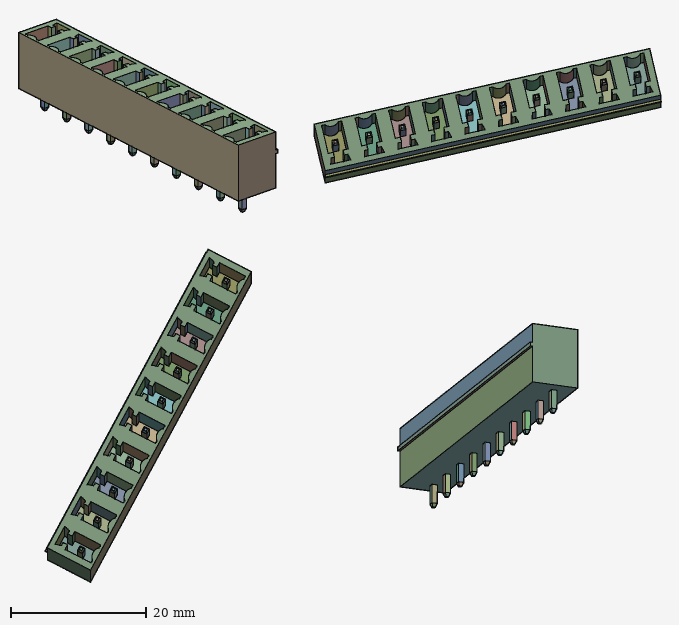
import cadquery as cq

position_count = 10
pitch = 5.1
housing_length = position_count * pitch
housing_depth = 7.2
housing_height = 9.15

rib_projection = 0.35
rib_height = 0.6
rib_drop = 2.95

socket_depth = 7.1
socket_width = 3.05
socket_front = 0.45
shoulder_y = 4.8
neck_width = 1.45
neck_back = 5.55
dovetail_front_width = 2.55
dovetail_back_width = 3.05
socket_back = 6.45
bump_width = 2.05
bump_height = 0.45

pin_width = 0.85
pin_y = 2.9
pin_tail_length = 3.45
pin_tip_length = 0.55
pin_tip_width = 0.4
pin_top_drop = 2.05


def make_housing():
    """Rectangular body with the rib on its back wall."""
    body = cq.Workplane("XY").box(
        housing_length, housing_depth, housing_height, centered=(True, False, False)
    )
    rib_bottom = housing_height - rib_drop - rib_height
    rib = (
        cq.Workplane("XY", origin=(0, housing_depth, rib_bottom))
        .box(housing_length, rib_projection, rib_height, centered=(True, False, False))
    )
    return body.union(rib)


def make_socket(x):
    """Cutting solid for the keyed socket centred at x, open at the housing top."""
    floor_z = housing_height - socket_depth
    return (
        cq.Workplane("XY", origin=(x, 0, floor_z))
        .moveTo(-socket_width / 2, socket_front)
        .lineTo(-bump_width / 2, socket_front)
        .threePointArc((0, socket_front + bump_height), (bump_width / 2, socket_front))
        .lineTo(socket_width / 2, socket_front)
        .lineTo(socket_width / 2, shoulder_y)
        .lineTo(neck_width / 2, shoulder_y)
        .lineTo(neck_width / 2, neck_back)
        .lineTo(dovetail_front_width / 2, neck_back)
        .lineTo(dovetail_back_width / 2, socket_back)
        .lineTo(-dovetail_back_width / 2, socket_back)
        .lineTo(-dovetail_front_width / 2, neck_back)
        .lineTo(-neck_width / 2, neck_back)
        .lineTo(-neck_width / 2, shoulder_y)
        .lineTo(-socket_width / 2, shoulder_y)
        .close()
        .extrude(socket_depth)
    )


def make_pin_tip(x, base_z, end_z):
    """Pyramid frustum narrowing from the pin section at base_z to the tip at end_z."""
    return (
        cq.Workplane("XY", origin=(x, pin_y, base_z))
        .rect(pin_width, pin_width)
        .workplane(offset=end_z - base_z)
        .rect(pin_tip_width, pin_tip_width)
        .loft(ruled=True)
    )


def make_pin(x):
    """Square pin at x, running from below the base up into the socket."""
    bottom_z = -pin_tail_length
    top_z = housing_height - pin_top_drop
    shank_bottom = bottom_z + pin_tip_length
    shank_top = top_z - pin_tip_length
    shank = (
        cq.Workplane("XY", origin=(x, pin_y, shank_bottom))
        .rect(pin_width, pin_width)
        .extrude(shank_top - shank_bottom)
    )
    lower_tip = make_pin_tip(x, shank_bottom, bottom_z)
    upper_tip = make_pin_tip(x, shank_top, top_z)
    return shank.union(lower_tip).union(upper_tip)


result = make_housing()
for index in range(position_count):
    position_x = (index - (position_count - 1) / 2) * pitch
    result = result.cut(make_socket(position_x)).union(make_pin(position_x))